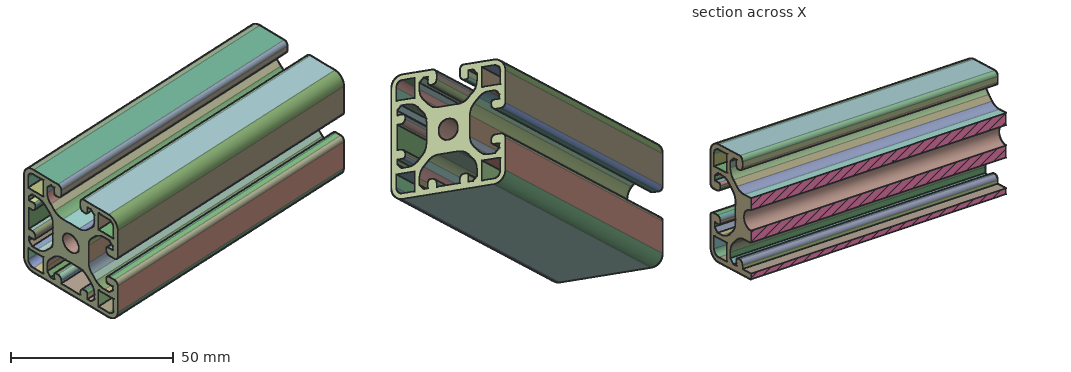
import cadquery as cq

side = 40.0
length = 100.0
half = side / 2
corner_radius = 4.0
bore_diameter = 6.8

chamber_wall = 1.8
chamber_size = 6.4

skin = 2.1
cavity_half_width = 10.1
cavity_floor = 7.6
cavity_chamfer = 1.5
cavity_fillet = 5.0
web_offset = 2.1

mouth_half_width = 4.1
hook_width = 3.0
hook_depth = 4.9
mouth_fillet = 1.5
hook_back_fillet = 0.8

OPEN_SLOT_ANGLES = (0, 90)
CLOSED_SLOT_ANGLES = (180, 270)


def prism(sketch):
    """Extrude a closed XZ outline over the full length, from Y = 0 to Y = length."""
    return sketch.extrude(-length)


def box_between(x_min, x_max, z_min, z_max):
    """Full-length bar covering the given ranges in X and Z."""
    outline = cq.Workplane("XZ").center((x_min + x_max) / 2, (z_min + z_max) / 2)
    return prism(outline.rect(x_max - x_min, z_max - z_min))


def turned(body, angle):
    """Turn a body about the profile axis, from +Z towards +X."""
    return body.rotate((0, 0, 0), (0, 1, 0), angle)


def cavity():
    """Slot cavity with chamfered upper corners and rounded flanks, before the hooks are added."""
    roof = half - skin
    floor_half_width = cavity_floor - web_offset
    flank_top = cavity_half_width + web_offset
    right_side = [
        (floor_half_width, cavity_floor),
        (cavity_half_width, flank_top),
        (cavity_half_width, roof - cavity_chamfer),
        (cavity_half_width - cavity_chamfer, roof),
    ]
    left_side = [(-x, z) for x, z in reversed(right_side)]
    body = prism(cq.Workplane("XZ").polyline(right_side + left_side).close())
    flank_edges = cq.selectors.BoxSelector(
        (-half, 0, 0),
        (half, length, (flank_top + roof - cavity_chamfer) / 2),
    )
    return body.edges("|Y").edges(flank_edges).fillet(cavity_fillet)


def hook():
    """Hook right of the slot mouth, hanging from the outer skin into the cavity."""
    bar = box_between(
        mouth_half_width, mouth_half_width + hook_width, half - hook_depth, half
    )
    bar = bar.edges("|Y and <X and <Z").fillet(mouth_fillet)
    return bar.edges("|Y and >X and <Z").fillet(hook_back_fillet)


def closed_slot():
    """Removed volume of a slot that keeps its outer skin."""
    right_hook = hook()
    return cavity().cut(right_hook).cut(right_hook.mirror("YZ"))


def open_slot():
    """Removed volume of a slot whose mouth breaks through the skin with rounded lips."""
    mouth = box_between(-mouth_half_width, mouth_half_width, half - skin, half)
    lip_corner = box_between(
        mouth_half_width, mouth_half_width + mouth_fillet, half - mouth_fillet, half
    )
    lip_round = prism(
        cq.Workplane("XZ")
        .center(mouth_half_width + mouth_fillet, half - mouth_fillet)
        .circle(mouth_fillet)
    )
    lip = lip_corner.cut(lip_round)
    return closed_slot().union(mouth).union(lip).union(lip.mirror("YZ"))


def corner_chamber():
    """Hollow in the +X +Z corner, rounded concentrically with the outer corner."""
    outer = half - chamber_wall
    inner = outer - chamber_size
    chamber = box_between(inner, outer, inner, outer)
    return chamber.edges("|Y and >X and >Z").fillet(corner_radius - chamber_wall)


result = box_between(-half, half, -half, half).edges("|Y").fillet(corner_radius)
result = result.cut(prism(cq.Workplane("XZ").circle(bore_diameter / 2)))

for angle in OPEN_SLOT_ANGLES:
    result = result.cut(turned(open_slot(), angle))

for angle in CLOSED_SLOT_ANGLES:
    result = result.cut(turned(closed_slot(), angle))

for angle in OPEN_SLOT_ANGLES + CLOSED_SLOT_ANGLES:
    result = result.cut(turned(corner_chamber(), angle))